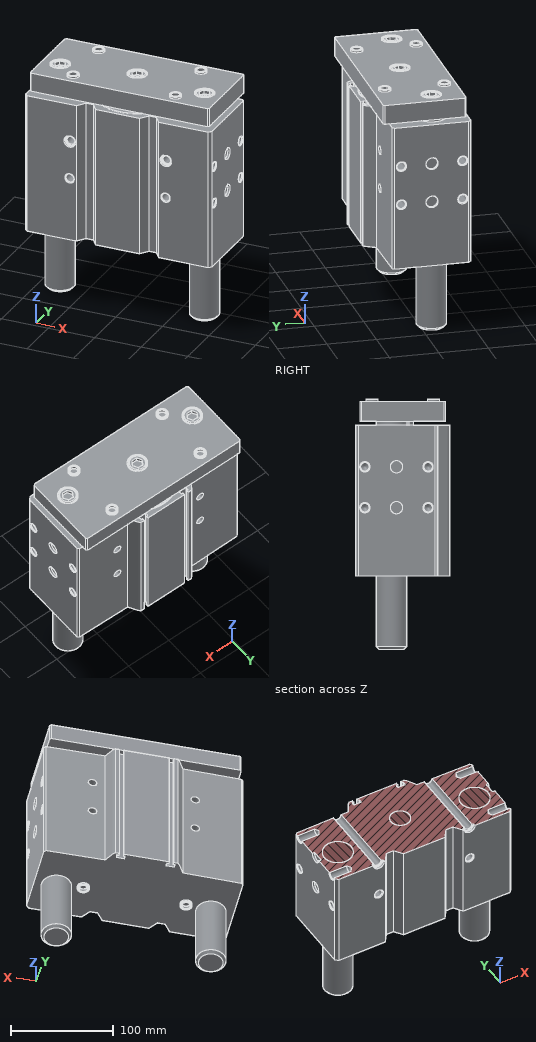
import cadquery as cq
import math


TOTAL_HEIGHT = 245.3
HOUSING_WIDTH = 200.0
HOUSING_DEPTH = 92.0
HOUSING_BOTTOM = 71.9
HOUSING_HEIGHT = 147.7
HOUSING_TOP = HOUSING_BOTTOM + HOUSING_HEIGHT
HALF_WIDTH = HOUSING_WIDTH / 2
FRONT_Y = -HOUSING_DEPTH / 2
BACK_Y = HOUSING_DEPTH / 2

FRONT_CORNER_CHAMFER = 3.0
FRONT_GROOVE_X = 33.8
FRONT_GROOVE_MOUTH = 20.5
FRONT_GROOVE_FLOOR = 7.8
FRONT_GROOVE_DEPTH = 8.8
SIDE_FACE_END_Y = 31.6
SIDE_CHAMFER = 2.0
RIDGE_FOOT_Y = 34.3
RIDGE_FLANK_ANGLE = 30.0
RIDGE_TOP_HALF_WIDTH = 31.5
RIDGE_CHAMFER = 2.0
SENSOR_SLOT_X = 25.0
SENSOR_SLOT_MOUTH = 4.5
SENSOR_SLOT_LIP = 2.7
SENSOR_SLOT_WIDTH = 8.0
SENSOR_SLOT_DEPTH = 6.0

TOP_RECESS_DIAMETER = 82.0
TOP_RECESS_DEPTH = 1.0
TOP_RECESS_FLOOR = HOUSING_TOP - TOP_RECESS_DEPTH

SLEEVE_DIAMETER = 12.0
SLEEVE_BORE = 8.3
SLEEVE_CHAMFER = 0.61
SLEEVE_RECESS_DEPTH = 2.5
SLEEVE_PROTRUSION = 2.5
SLEEVE_LENGTH = SLEEVE_RECESS_DEPTH + SLEEVE_PROTRUSION
PLATE_SLEEVE_PITCH_X = 110.0
PLATE_SLEEVE_PITCH_Y = 60.0

HOLE_DIAMETER = 8.3
HOLE_CHAMFER_DIAMETER = 10.0
HOLE_CHAMFER = (HOLE_CHAMFER_DIAMETER - HOLE_DIAMETER) / 2
HOLE_PITCH_Z = 40.0
UPPER_HOLE_BELOW_TOP = 40.7
UPPER_HOLE_Z = HOUSING_TOP - UPPER_HOLE_BELOW_TOP
LOWER_HOLE_Z = UPPER_HOLE_Z - HOLE_PITCH_Z
FRONT_HOLE_X = 51.5
SIDE_AXIS_Y = -6.1
SIDE_HOLE_OFFSET_Y = 31.0
SIDE_HOLE_DEPTH = 19.5
DRILL_POINT_ANGLE = 118.0

PLATE_WIDTH = 192.3
PLATE_DEPTH = 84.0
PLATE_THICKNESS = 19.5
PLATE_TOP = TOTAL_HEIGHT - SLEEVE_PROTRUSION
PLATE_BOTTOM = PLATE_TOP - PLATE_THICKNESS
PLATE_CORNER_CHAMFER = 1.5
GUIDE_ROD_DIAMETER = 30.0
GUIDE_ROD_X = 77.5
GUIDE_ROD_Y = -11.0
GUIDE_ROD_CHAMFER = 3.0
PISTON_ROD_DIAMETER = 20.0
PISTON_ROD_Y = 0.5
PISTON_ROD_FLATS = 17.0
PISTON_ROD_DEPTH = 73.5
PISTON_ROD_END = TOP_RECESS_FLOOR - PISTON_ROD_DEPTH

SCREW_RECESS_DIAMETER = 20.0
SCREW_HEAD_DIAMETER = 18.0
SCREW_CHAMFER = 1.0
SCREW_GAP_DEPTH = 1.2
SCREW_SOCKET_FLATS = 10.0
SCREW_SOCKET_DEPTH = 4.0

GUIDE_ROD_POINTS = [(side * GUIDE_ROD_X, GUIDE_ROD_Y) for side in (-1, 1)]
PLATE_SLEEVE_POINTS = [
    (side_x * PLATE_SLEEVE_PITCH_X / 2, side_y * PLATE_SLEEVE_PITCH_Y / 2)
    for side_x in (-1, 1)
    for side_y in (-1, 1)
]
BOTTOM_SLEEVE_POINTS = [(side * FRONT_HOLE_X, SIDE_AXIS_Y) for side in (-1, 1)]


def cylinder(diameter, height, start, direction=(0, 0, 1)):
    """Cylinder that grows from the start point along the direction."""
    return cq.Workplane(
        cq.Solid.makeCylinder(diameter / 2, height, cq.Vector(*start), cq.Vector(*direction))
    )


def cone(start_diameter, end_diameter, height, start, direction):
    """Cone that grows from the start point along the direction."""
    return cq.Workplane(
        cq.Solid.makeCone(
            start_diameter / 2, end_diameter / 2, height, cq.Vector(*start), cq.Vector(*direction)
        )
    )


def housing_prism(points):
    """Outline in X and Y, extruded over the housing height."""
    return (
        cq.Workplane("XY", origin=(0, 0, HOUSING_BOTTOM))
        .polyline(points)
        .close()
        .extrude(HOUSING_HEIGHT)
    )


def housing_block():
    """Outline with chamfered front corners and a raised ridge on the back."""
    flank_top_x = RIDGE_TOP_HALF_WIDTH + RIDGE_CHAMFER
    flank_top_y = BACK_Y - RIDGE_CHAMFER
    flank_run = (flank_top_y - RIDGE_FOOT_Y) * math.tan(math.radians(RIDGE_FLANK_ANGLE))
    right_half = [
        (HALF_WIDTH - FRONT_CORNER_CHAMFER, FRONT_Y),
        (HALF_WIDTH, FRONT_Y + FRONT_CORNER_CHAMFER),
        (HALF_WIDTH, SIDE_FACE_END_Y),
        (HALF_WIDTH - SIDE_CHAMFER, SIDE_FACE_END_Y + SIDE_CHAMFER),
        (flank_top_x + flank_run, RIDGE_FOOT_Y),
        (flank_top_x, flank_top_y),
        (RIDGE_TOP_HALF_WIDTH, BACK_Y),
    ]
    left_half = [(-x, y) for x, y in reversed(right_half)]
    return housing_prism(right_half + left_half)


def front_groove(center_x):
    """Groove along Z in the front face, narrower at its floor than at its mouth."""
    floor_y = FRONT_Y + FRONT_GROOVE_DEPTH
    return housing_prism([
        (center_x - FRONT_GROOVE_MOUTH / 2, FRONT_Y),
        (center_x + FRONT_GROOVE_MOUTH / 2, FRONT_Y),
        (center_x + FRONT_GROOVE_FLOOR / 2, floor_y),
        (center_x - FRONT_GROOVE_FLOOR / 2, floor_y),
    ])


def sensor_slot(center_x):
    """T-slot along Z in the ridge on the back."""
    lip_y = BACK_Y - SENSOR_SLOT_LIP
    floor_y = BACK_Y - SENSOR_SLOT_DEPTH
    right_half = [
        (SENSOR_SLOT_MOUTH / 2, BACK_Y),
        (SENSOR_SLOT_MOUTH / 2, lip_y),
        (SENSOR_SLOT_WIDTH / 2, lip_y),
        (SENSOR_SLOT_WIDTH / 2, floor_y),
    ]
    left_half = [(-x, y) for x, y in reversed(right_half)]
    return housing_prism([(center_x + x, y) for x, y in right_half + left_half])


def top_recess():
    """Shallow round recess in the housing top, around the piston rod."""
    return cylinder(TOP_RECESS_DIAMETER, TOP_RECESS_DEPTH, (0, PISTON_ROD_Y, TOP_RECESS_FLOOR))


def piston_bore():
    """Blind bore that fits the round part of the piston rod."""
    return cylinder(PISTON_ROD_DIAMETER, PISTON_ROD_DEPTH, (0, PISTON_ROD_Y, PISTON_ROD_END))


def chamfered_hole(start, direction, depth):
    """Hole with a 45 degree chamfer at its mouth."""
    hole = cylinder(HOLE_DIAMETER, depth, start, direction)
    return hole.union(cone(HOLE_CHAMFER_DIAMETER, HOLE_DIAMETER, HOLE_CHAMFER, start, direction))


def front_holes(x):
    """Two chamfered holes through the depth, the upper one with a sleeve recess."""
    inward = (0, 1, 0)
    upper_start = (x, FRONT_Y, UPPER_HOLE_Z)
    upper = chamfered_hole((x, FRONT_Y + SLEEVE_RECESS_DEPTH, UPPER_HOLE_Z), inward, HOUSING_DEPTH)
    recess = cylinder(SLEEVE_DIAMETER, SLEEVE_RECESS_DEPTH, upper_start, inward)
    lower = chamfered_hole((x, FRONT_Y, LOWER_HOLE_Z), inward, HOUSING_DEPTH)
    return upper.union(recess).union(lower)


def side_hole(side, y, z):
    """Blind hole with a drill point, in the left (-1) or right (+1) side face."""
    inward = (-side, 0, 0)
    tip_length = HOLE_DIAMETER / 2 / math.tan(math.radians(DRILL_POINT_ANGLE / 2))
    tip_start = (side * (HALF_WIDTH - SIDE_HOLE_DEPTH), y, z)
    hole = chamfered_hole((side * HALF_WIDTH, y, z), inward, SIDE_HOLE_DEPTH)
    return hole.union(cone(HOLE_DIAMETER, 0, tip_length, tip_start, inward))


def side_recess(side, z):
    """Flat sleeve recess in a side face, midway between two blind holes."""
    return cylinder(
        SLEEVE_DIAMETER, SLEEVE_RECESS_DEPTH, (side * HALF_WIDTH, SIDE_AXIS_Y, z), (-side, 0, 0)
    )


def make_housing():
    body = housing_block().cut(top_recess()).cut(piston_bore())
    for side in (-1, 1):
        body = body.cut(front_groove(side * FRONT_GROOVE_X))
        body = body.cut(sensor_slot(side * SENSOR_SLOT_X))
        body = body.cut(front_holes(side * FRONT_HOLE_X))
        for z in (UPPER_HOLE_Z, LOWER_HOLE_Z):
            body = body.cut(side_recess(side, z))
            for row in (-1, 1):
                body = body.cut(side_hole(side, SIDE_AXIS_Y + row * SIDE_HOLE_OFFSET_Y, z))
    for x, y in GUIDE_ROD_POINTS:
        body = body.cut(cylinder(GUIDE_ROD_DIAMETER, HOUSING_HEIGHT, (x, y, HOUSING_BOTTOM)))
    for x, y in BOTTOM_SLEEVE_POINTS:
        body = body.cut(cylinder(SLEEVE_DIAMETER, SLEEVE_RECESS_DEPTH, (x, y, HOUSING_BOTTOM)))
    return body


def plate():
    """End plate with chamfered upright corners and sleeve recesses in its top."""
    body = (
        cq.Workplane("XY", origin=(0, 0, PLATE_BOTTOM))
        .rect(PLATE_WIDTH, PLATE_DEPTH)
        .extrude(PLATE_THICKNESS)
        .edges("|Z")
        .chamfer(PLATE_CORNER_CHAMFER)
    )
    for x, y in PLATE_SLEEVE_POINTS:
        body = body.cut(cylinder(SLEEVE_DIAMETER, SLEEVE_RECESS_DEPTH, (x, y, PLATE_TOP), (0, 0, -1)))
    return body


def screw_cut(x, y):
    """Ring-shaped gap around a chamfered screw head, with the hexagon socket of the screw."""
    top = (x, y, PLATE_TOP)
    down = (0, 0, -1)
    head = cylinder(SCREW_HEAD_DIAMETER, SCREW_GAP_DEPTH, top, down).faces(">Z").chamfer(SCREW_CHAMFER)
    gap = cylinder(SCREW_RECESS_DIAMETER, SCREW_GAP_DEPTH, top, down).cut(head)
    socket = (
        cq.Workplane("XY", origin=top)
        .polygon(6, SCREW_SOCKET_FLATS / math.cos(math.pi / 6))
        .extrude(-SCREW_SOCKET_DEPTH)
    )
    return gap.union(socket)


def guide_rod(x, y):
    """Guide rod below the plate, chamfered at its free end."""
    return cylinder(GUIDE_ROD_DIAMETER, PLATE_BOTTOM, (x, y, 0)).faces("<Z").chamfer(GUIDE_ROD_CHAMFER)


def piston_rod():
    """Rod that is round in its bore and has two wrench flats between the recess floor and the plate."""
    neck_base = (0, PISTON_ROD_Y, TOP_RECESS_FLOOR)
    neck_height = PLATE_BOTTOM - TOP_RECESS_FLOOR
    between_flats = (
        cq.Workplane("XY", origin=neck_base)
        .rect(PISTON_ROD_FLATS, PISTON_ROD_DIAMETER)
        .extrude(neck_height)
    )
    neck = cylinder(PISTON_ROD_DIAMETER, neck_height, neck_base).intersect(between_flats)
    return cylinder(PISTON_ROD_DIAMETER, PISTON_ROD_DEPTH, (0, PISTON_ROD_Y, PISTON_ROD_END)).union(neck)


def make_carriage():
    body = plate().union(piston_rod())
    for x, y in GUIDE_ROD_POINTS:
        body = body.union(guide_rod(x, y))
        body = body.cut(screw_cut(x, y))
    return body.cut(screw_cut(0, PISTON_ROD_Y))


def make_sleeve(x, y, bottom_z):
    """Open sleeve with the inner and outer rims chamfered at both ends."""
    bore = cylinder(SLEEVE_BORE, SLEEVE_LENGTH, (x, y, bottom_z))
    tube = cylinder(SLEEVE_DIAMETER, SLEEVE_LENGTH, (x, y, bottom_z)).cut(bore)
    return tube.faces("<Z or >Z").edges().chamfer(SLEEVE_CHAMFER)


housing = make_housing()
carriage = make_carriage()
plate_sleeves = [make_sleeve(x, y, PLATE_TOP - SLEEVE_RECESS_DEPTH) for x, y in PLATE_SLEEVE_POINTS]
bottom_sleeves = [make_sleeve(x, y, HOUSING_BOTTOM - SLEEVE_PROTRUSION) for x, y in BOTTOM_SLEEVE_POINTS]

result = cq.Compound.makeCompound(
    [housing.val(), carriage.val()] + [sleeve.val() for sleeve in plate_sleeves + bottom_sleeves]
)